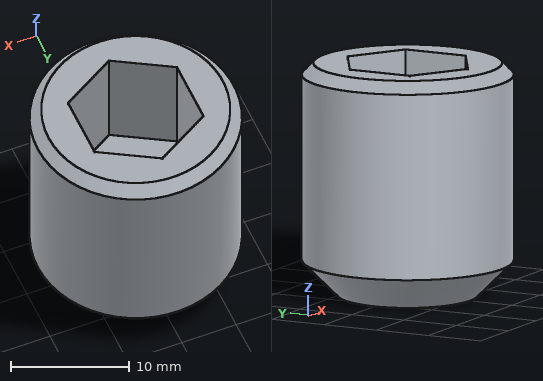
import cadquery as cq
import math

length = 20.0
body_diameter = 18.0
top_chamfer = 1.0
point_chamfer = 3.0

socket_across_flats = 10.0
socket_depth = 10.0
socket_across_corners = socket_across_flats / math.cos(math.pi / 6)
corner_angle = 90.0


def make_body():
    """Cylinder with a 45 degree chamfer at each end."""
    return (
        cq.Workplane("XY")
        .circle(body_diameter / 2)
        .extrude(length)
        .faces(">Z")
        .chamfer(top_chamfer)
        .faces("<Z")
        .chamfer(point_chamfer)
    )


def make_socket():
    """Hexagonal prism reaching down from the top face."""
    return (
        cq.Workplane("XY")
        .workplane(offset=length - socket_depth)
        .polygon(6, socket_across_corners)
        .extrude(socket_depth)
        .rotate((0, 0, 0), (0, 0, 1), corner_angle)
    )


result = make_body().cut(make_socket())